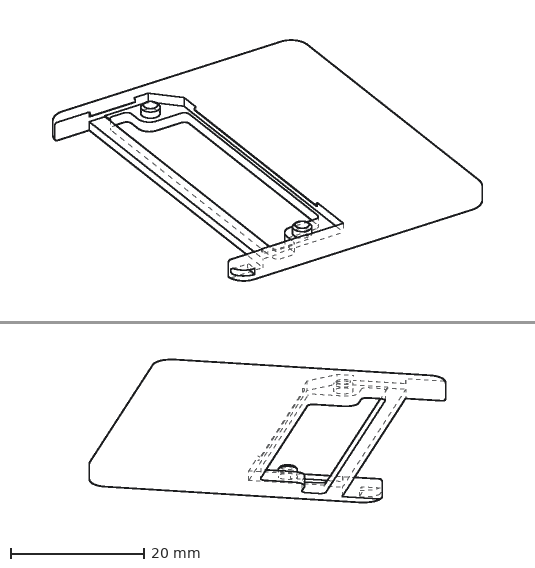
import cadquery as cq

LENGTH = 54.0
WIDTH = 45.0
HEIGHT = 3.2
CORNER_RADIUS = 3.0
EDGE_ROUND = 0.5

POCKET_HALF = 24.3
POCKET_BACK = -1.95
POCKET_FLOOR = 1.7
POCKET_CHAMFER_X = 4.0
POCKET_CHAMFER_Y = 3.85
BAR_FRONT = -16.3
BAR_TOP = 1.5

WINDOW_BACK = -2.55
WINDOW_SHOULDER = -9.85
WINDOW_FRONT = -13.5
WINDOW_NARROW_HALF = 18.8
WINDOW_WIDE_HALF = 23.5
WINDOW_CORNER_RADIUS = 0.85
SHOULDER_RADIUS = 2.0

PIN_DIAMETER = 2.9
PIN_X = 21.2
PIN_Y = -7.35
PIN_TOP = 3.15
PIN_CHAMFER = 0.4

SIDE_LIP_BACK = -8.3
SIDE_LIP_REACH = 0.4
SIDE_LIP_HEIGHT = 0.75
BACK_LIP_HALF = 17.0
BACK_LIP_REACH = 0.25
BACK_LIP_HEIGHT = 0.65

NOTCH_INNER_X = 24.85
NOTCH_HEIGHT = 1.0
NOTCH_FLOOR_Y = -19.45

FRONT = -WIDTH / 2


def make_plate():
    plate = cq.Workplane("XY").box(LENGTH, WIDTH, HEIGHT, centered=(True, True, False))
    plate = plate.edges("|Z").fillet(CORNER_RADIUS)
    return plate.faces("<Z or >Z").edges().fillet(EDGE_ROUND)


def make_pocket():
    """Volume above the recess floor, with its back left corner cut off."""
    outline = [
        (-POCKET_HALF, FRONT),
        (POCKET_HALF, FRONT),
        (POCKET_HALF, POCKET_BACK),
        (-POCKET_HALF + POCKET_CHAMFER_X, POCKET_BACK),
        (-POCKET_HALF, POCKET_BACK - POCKET_CHAMFER_Y),
    ]
    depth = HEIGHT - POCKET_FLOOR
    return cq.Workplane("XY").workplane(offset=POCKET_FLOOR).polyline(outline).close().extrude(depth)


def make_arm_gap():
    """Full-height gap between the arms, in front of the cross bar."""
    gap = cq.Workplane("XY").box(2 * POCKET_HALF, BAR_FRONT - FRONT, HEIGHT, centered=(True, False, False))
    return gap.translate((0, FRONT, 0))


def make_bar_step():
    """Thin layer over the cross bar, which sits a little lower than the recess floor."""
    step = cq.Workplane("XY").box(
        2 * POCKET_HALF, WINDOW_FRONT - BAR_FRONT, POCKET_FLOOR - BAR_TOP, centered=(True, False, False)
    )
    return step.translate((0, BAR_FRONT, BAR_TOP))


def make_window():
    outline = [
        (-WINDOW_WIDE_HALF, WINDOW_FRONT),
        (WINDOW_WIDE_HALF, WINDOW_FRONT),
        (WINDOW_WIDE_HALF, WINDOW_SHOULDER),
        (WINDOW_NARROW_HALF, WINDOW_SHOULDER),
        (WINDOW_NARROW_HALF, WINDOW_BACK),
        (-WINDOW_NARROW_HALF, WINDOW_BACK),
        (-WINDOW_NARROW_HALF, WINDOW_SHOULDER),
        (-WINDOW_WIDE_HALF, WINDOW_SHOULDER),
    ]
    window = cq.Workplane("XY").polyline(outline).close().extrude(POCKET_FLOOR)
    shoulders = [(side * WINDOW_NARROW_HALF, WINDOW_SHOULDER, POCKET_FLOOR / 2) for side in (-1, 1)]
    for point in shoulders:
        window = window.edges(cq.NearestToPointSelector(point)).fillet(SHOULDER_RADIUS)
    outer_corners = [
        (side * half, y, POCKET_FLOOR / 2)
        for side in (-1, 1)
        for half, y in (
            (WINDOW_WIDE_HALF, WINDOW_FRONT),
            (WINDOW_WIDE_HALF, WINDOW_SHOULDER),
            (WINDOW_NARROW_HALF, WINDOW_BACK),
        )
    ]
    for point in outer_corners:
        window = window.edges(cq.NearestToPointSelector(point)).fillet(WINDOW_CORNER_RADIUS)
    return window


def make_pin(x):
    pin = cq.Workplane("XY").circle(PIN_DIAMETER / 2).extrude(PIN_TOP)
    return pin.faces(">Z").chamfer(PIN_CHAMFER).translate((x, PIN_Y, 0))


def lip_profile(plane, origin, wall, reach, height):
    """Rounded bead section that bulges from a wall, just below the top face."""
    bottom = HEIGHT - height
    return (
        cq.Workplane(plane, origin=origin)
        .moveTo(wall, HEIGHT)
        .threePointArc((wall - reach, HEIGHT - height / 2), (wall, bottom))
        .close()
    )


def make_side_lip():
    """Lip on the +X wall, ending flush with the front of the cross bar."""
    profile = lip_profile("XZ", (0, SIDE_LIP_BACK, 0), POCKET_HALF, SIDE_LIP_REACH, SIDE_LIP_HEIGHT)
    return profile.extrude(SIDE_LIP_BACK - BAR_FRONT)


def make_back_lip():
    profile = lip_profile("YZ", (-BACK_LIP_HALF, 0, 0), POCKET_BACK, BACK_LIP_REACH, BACK_LIP_HEIGHT)
    return profile.extrude(2 * BACK_LIP_HALF)


def make_notch():
    end_radius = NOTCH_HEIGHT / 2
    centre_x = NOTCH_INNER_X + end_radius
    low = HEIGHT / 2 - end_radius
    high = HEIGHT / 2 + end_radius
    profile = (
        cq.Workplane("XZ", origin=(0, NOTCH_FLOOR_Y, 0))
        .moveTo(LENGTH / 2, low)
        .lineTo(centre_x, low)
        .threePointArc((NOTCH_INNER_X, HEIGHT / 2), (centre_x, high))
        .lineTo(LENGTH / 2, high)
        .close()
    )
    return profile.extrude(NOTCH_FLOOR_Y - FRONT)


result = make_plate().cut(make_pocket()).cut(make_arm_gap()).cut(make_window()).cut(make_bar_step())
for pin_x in (-PIN_X, PIN_X):
    result = result.union(make_pin(pin_x))

side_lip = make_side_lip()
result = result.union(side_lip).union(side_lip.mirror("YZ")).union(make_back_lip())
result = result.cut(make_notch())